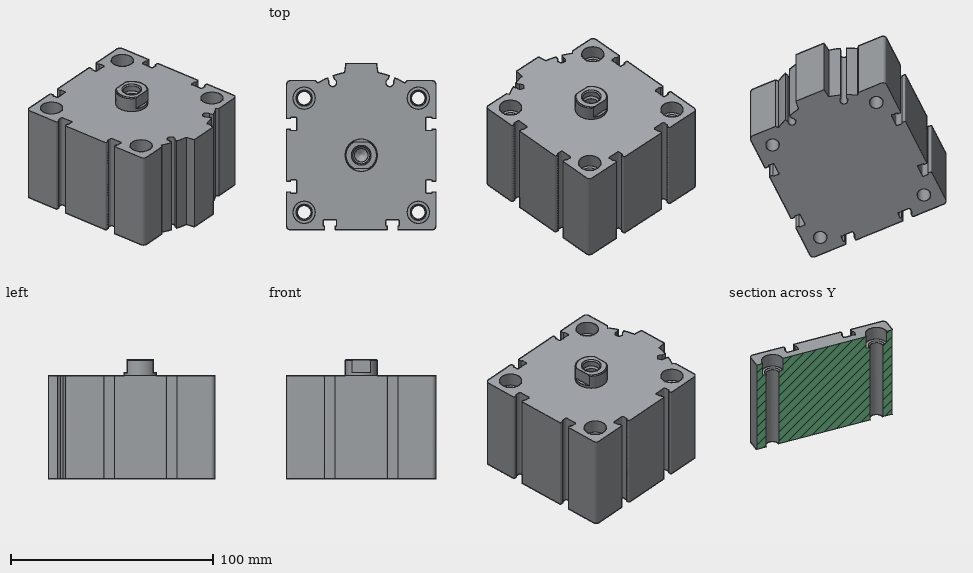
import cadquery as cq
import math

block_size = 74.0
block_height = 51.0
half_block = block_size / 2
corner_radius = 2.0

crown_radius = 41.8
rib_reach = 45.5
rib_tip_half_width = 7.65
rib_root_half_width = 8.25
notch_angle = 31.0

groove_angle = 21.5
groove_mouth_width = 2.9
groove_round_diameter = 3.8
groove_round_radius_from_axis = 38.6

slot_offset = 15.5
slot_mouth_width = 5.2
slot_inner_width = 6.5
slot_depth = 5.0
slot_lip = 1.9
slot_edge_radius = 0.4

mount_spacing = 56.5
mount_bore_diameter = 6.65
mount_chamfer_diameter = 8.0
counterbore_diameter = 11.0
counterbore_depth = 7.0

rod_diameter = 16.0
rod_projection = 8.0
rod_seat_depth = 15.0
rod_length = rod_projection + rod_seat_depth
rod_chamfer = 0.5
flats_width = 13.0
flats_height = 6.5

socket_mouth_diameter = 9.8
socket_diameter = 8.5
socket_depth = 3.5
drill_diameter = 6.65
drill_depth = 15.0
drill_point_angle = 118.0


def on_circle(radius, angle):
    """Point on a circle about the rod axis; the angle is measured from +Y towards +X."""
    a = math.radians(angle)
    return (radius * math.sin(a), radius * math.cos(a))


def make_block():
    block = cq.Workplane("XY").box(block_size, block_size, block_height, centered=(True, True, False))
    return block.edges("|Z").fillet(corner_radius)


def make_crown():
    """Arc-topped bulge with the rib, overlapping the middle of the block."""
    notch_x, notch_y = on_circle(crown_radius, notch_angle)
    root_y = math.sqrt(crown_radius**2 - rib_root_half_width**2)
    root_angle = math.degrees(math.asin(rib_root_half_width / crown_radius))
    mid_x, mid_y = on_circle(crown_radius, (notch_angle + root_angle) / 2)
    return (
        cq.Workplane("XY")
        .moveTo(-notch_x, 0)
        .lineTo(-notch_x, notch_y)
        .threePointArc((-mid_x, mid_y), (-rib_root_half_width, root_y))
        .lineTo(-rib_tip_half_width, rib_reach)
        .lineTo(rib_tip_half_width, rib_reach)
        .lineTo(rib_root_half_width, root_y)
        .threePointArc((mid_x, mid_y), (notch_x, notch_y))
        .lineTo(notch_x, 0)
        .close()
        .extrude(block_height)
    )


def make_notch(side):
    """45-degree notch in the block's rear edge, reaching inwards to where the crown arc rises past it."""
    x, y = on_circle(crown_radius, notch_angle)
    rise = half_block - y
    inner_x = math.sqrt(crown_radius**2 - half_block**2)
    return (
        cq.Workplane("XY")
        .moveTo(side * x, y)
        .lineTo(side * (x + rise), half_block)
        .lineTo(side * inner_x, half_block)
        .lineTo(side * inner_x, y)
        .close()
        .extrude(block_height)
    )


def make_sensor_groove(side):
    """Radial groove: a narrow mouth opening into a round channel."""
    mouth_length = rib_reach - groove_round_radius_from_axis
    mouth_middle = groove_round_radius_from_axis + mouth_length / 2
    mouth = (
        cq.Workplane("XY")
        .center(0, mouth_middle)
        .rect(groove_mouth_width, mouth_length)
        .extrude(block_height)
    )
    channel = (
        cq.Workplane("XY")
        .center(0, groove_round_radius_from_axis)
        .circle(groove_round_diameter / 2)
        .extrude(block_height)
    )
    return mouth.union(channel).rotate((0, 0, 0), (0, 0, 1), -side * groove_angle)


def make_t_slot(offset, turn):
    """T-slot cut into the -Y side at X = offset, then turned about the rod axis."""
    half_mouth = slot_mouth_width / 2
    inner_depth = slot_depth - slot_lip
    r = slot_edge_radius
    front = -half_block
    arc_inset = r * (1 - math.cos(math.radians(45)))
    mouth = (
        cq.Workplane("XY")
        .moveTo(-half_mouth - r, front)
        .threePointArc((-half_mouth - arc_inset, front + arc_inset), (-half_mouth, front + r))
        .lineTo(-half_mouth, front + slot_lip)
        .lineTo(half_mouth, front + slot_lip)
        .lineTo(half_mouth, front + r)
        .threePointArc((half_mouth + arc_inset, front + arc_inset), (half_mouth + r, front))
        .close()
        .extrude(block_height)
    )
    inner = (
        cq.Workplane("XY")
        .center(0, front + slot_lip + inner_depth / 2)
        .rect(slot_inner_width, inner_depth)
        .extrude(block_height)
        .edges("|Z")
        .fillet(slot_edge_radius)
    )
    return mouth.union(inner).translate((offset, 0, 0)).rotate((0, 0, 0), (0, 0, 1), turn)


def make_mount_hole():
    """Counterbored through hole with a chamfer at the counterbore floor, along Z."""
    floor = block_height - counterbore_depth
    bore = mount_bore_diameter / 2
    chamfer = mount_chamfer_diameter / 2
    counterbore = counterbore_diameter / 2
    profile = [
        (0, 0),
        (bore, 0),
        (bore, floor - (chamfer - bore)),
        (chamfer, floor),
        (counterbore, floor),
        (counterbore, block_height),
        (0, block_height),
    ]
    return cq.Workplane("XZ").polyline(profile).close().revolve(360, (0, 0), (0, 1))


def make_housing():
    housing = make_block()
    for side in (-1, 1):
        housing = housing.cut(make_notch(side))
    housing = housing.union(make_crown())
    for side in (-1, 1):
        housing = housing.cut(make_sensor_groove(side))
    for turn in (-90, 0, 90):
        for offset in (-slot_offset, slot_offset):
            housing = housing.cut(make_t_slot(offset, turn))
    for x in (-mount_spacing / 2, mount_spacing / 2):
        for y in (-mount_spacing / 2, mount_spacing / 2):
            housing = housing.cut(make_mount_hole().translate((x, y, 0)))
    seat = (
        cq.Workplane("XY")
        .workplane(offset=block_height - rod_seat_depth)
        .circle(rod_diameter / 2)
        .extrude(rod_seat_depth)
    )
    return housing.cut(seat)


def make_rod_hole():
    """Chamfered socket stepping through a 45-degree cone to a pointed drill hole."""
    top = block_height + rod_projection
    mouth = socket_mouth_diameter / 2
    socket = socket_diameter / 2
    drill = drill_diameter / 2
    drill_bottom = top - drill_depth
    point_height = drill / math.tan(math.radians(drill_point_angle / 2))
    profile = [
        (0, top),
        (mouth, top),
        (socket, top - (mouth - socket)),
        (socket, top - socket_depth),
        (drill, top - socket_depth - (socket - drill)),
        (drill, drill_bottom),
        (0, drill_bottom - point_height),
    ]
    return cq.Workplane("XZ").polyline(profile).close().revolve(360, (0, 0), (0, 1))


def make_rod():
    seat_bottom = block_height - rod_seat_depth
    rod = (
        cq.Workplane("XY")
        .workplane(offset=seat_bottom)
        .circle(rod_diameter / 2)
        .extrude(rod_length)
        .faces(">Z")
        .chamfer(rod_chamfer)
    )
    flat_depth = (rod_diameter - flats_width) / 2
    flat_bottom = block_height + rod_projection - flats_height
    for side in (-1, 1):
        flat = (
            cq.Workplane("XY")
            .workplane(offset=flat_bottom)
            .center(0, side * (flats_width + flat_depth) / 2)
            .rect(rod_diameter, flat_depth)
            .extrude(flats_height)
        )
        rod = rod.cut(flat)
    return rod.cut(make_rod_hole())


housing = make_housing()
rod = make_rod()
result = cq.Compound.makeCompound([housing.val(), rod.val()])